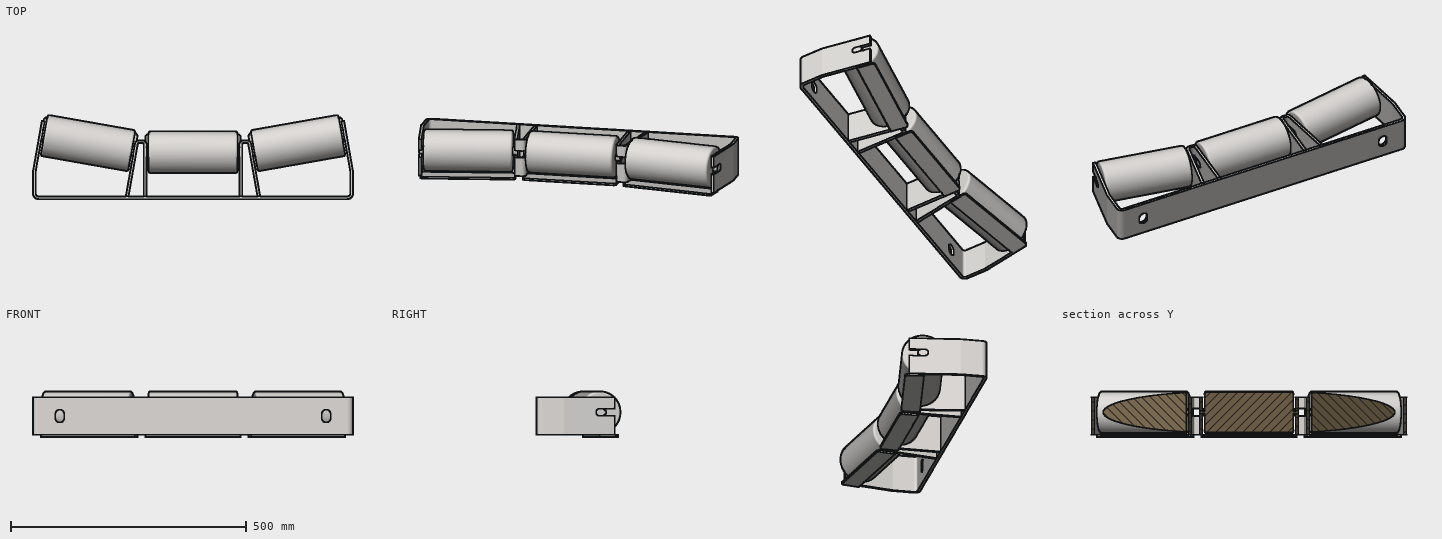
import cadquery as cq
import math

FRAME_LENGTH = 680.0
TOTAL_DEPTH = 179.0
FRAME_HEIGHT = 80.0
SHEET = 6.0
INNER_BEND_RADIUS = 6.0
END_BEND_Y = 59.0
END_TIP_Y = 166.5
SIDE_ANGLE = 10.0

MOUNT_HOLE_X = 283.0
MOUNT_HOLE_WIDTH = 19.0
MOUNT_HOLE_HEIGHT = 27.0

SUPPORT_SPAN = 209.5
BRACKET_TOP_Y = 125.0
BRACKET_RADIUS = 8.0

ROLLER_DIAMETER = 89.0
ROLLER_LENGTH = 189.0
ROLLER_FILLET = 5.0
SHAFT_WIDTH = 22.0
SHAFT_HEIGHT = 15.0

PLATE_LENGTH = 202.5
PLATE_WIDTH = 40.0
PLATE_THICKNESS = 4.4
PLATE_CHAMFER = 4.0
PLATE_FRONT = 38.0

AXIS_Z = 48.0
MIDDLE_AXIS_Y = 100.0

SIDE_SLOPE = math.tan(math.radians(SIDE_ANGLE))
SIDE_COS = math.cos(math.radians(SIDE_ANGLE))
SIDE_SIN = math.sin(math.radians(SIDE_ANGLE))
HALF_LENGTH = FRAME_LENGTH / 2
BRACKET_LEG_X = SUPPORT_SPAN / 2 - SHEET

SIDE_FRONT_REACH = (
    (ROLLER_LENGTH / 2 - ROLLER_FILLET) * SIDE_SIN
    + (ROLLER_DIAMETER / 2 - ROLLER_FILLET) * SIDE_COS
    + ROLLER_FILLET
)
SIDE_Y = TOTAL_DEPTH - SIDE_FRONT_REACH

SIDE_X = HALF_LENGTH - (SUPPORT_SPAN / 2 + (SIDE_Y - END_BEND_Y) * SIDE_SIN) / SIDE_COS

BRACKET_FOOT_X = SIDE_X - (SUPPORT_SPAN / 2 - (SIDE_Y - SHEET) * SIDE_SIN) / SIDE_COS

STATIONS = [(-SIDE_X, SIDE_Y, -SIDE_ANGLE), (0, MIDDLE_AXIS_Y, 0), (SIDE_X, SIDE_Y, SIDE_ANGLE)]


def at_station(body, station):
    """Move a body made around the roller middle to its roller position."""
    x, y, angle = station
    return body.rotate((0, 0, 0), (0, 0, 1), angle).translate((x, y, AXIS_Z))


def shaft(length):
    return cq.Workplane("YZ", origin=(-length / 2, 0, 0)).slot2D(SHAFT_WIDTH, SHAFT_HEIGHT).extrude(length)


def make_roller():
    drum_end = cq.Workplane("YZ", origin=(-ROLLER_LENGTH / 2, 0, 0))
    drum = drum_end.circle(ROLLER_DIAMETER / 2).extrude(ROLLER_LENGTH)
    return drum.faces("<X or >X").edges().fillet(ROLLER_FILLET).union(shaft(SUPPORT_SPAN))


def make_base_plate():
    plate = cq.Workplane("XY").box(PLATE_LENGTH, PLATE_WIDTH, PLATE_THICKNESS)
    plate = plate.faces(">Y").edges("|Z").chamfer(PLATE_CHAMFER)
    return plate.translate((0, PLATE_FRONT - PLATE_WIDTH / 2, -AXIS_Z - PLATE_THICKNESS / 2))


def make_shaft_slots():
    length = SUPPORT_SPAN + 2 * SHEET
    opening = cq.Workplane("XY").box(length, ROLLER_DIAMETER, SHAFT_HEIGHT)
    return shaft(length).union(opening.translate((0, ROLLER_DIAMETER / 2, 0)))


def cut_shaft_slots(body):
    for station in STATIONS:
        body = body.cut(at_station(make_shaft_slots(), station))
    return body


def round_edge(body, x, y, radius):
    """Fillet the upright edge at (x, y)."""
    edge = cq.selectors.NearestToPointSelector((x, y, FRAME_HEIGHT / 2))
    return body.edges("|Z").edges(edge).fillet(radius)


def make_frame():
    tip_x = HALF_LENGTH - (END_TIP_Y - END_BEND_Y) * SIDE_SLOPE
    inner_x = HALF_LENGTH - SHEET
    inner_bend_y = END_BEND_Y - SHEET * math.tan(math.radians(SIDE_ANGLE / 2))
    right_side = [
        (HALF_LENGTH, 0),
        (HALF_LENGTH, END_BEND_Y),
        (tip_x, END_TIP_Y),
        (tip_x - SHEET * SIDE_COS, END_TIP_Y - SHEET * SIDE_SIN),
        (inner_x, inner_bend_y),
        (inner_x, SHEET),
    ]
    left_side = [(-x, y) for x, y in reversed(right_side)]
    frame = cq.Workplane("XY").polyline(right_side + left_side).close().extrude(FRAME_HEIGHT)

    outer_radius = INNER_BEND_RADIUS + SHEET
    for side in (-1, 1):
        frame = round_edge(frame, side * HALF_LENGTH, 0, outer_radius)
        frame = round_edge(frame, side * inner_x, SHEET, INNER_BEND_RADIUS)
        frame = round_edge(frame, side * HALF_LENGTH, END_BEND_Y, outer_radius)
        frame = round_edge(frame, side * inner_x, inner_bend_y, INNER_BEND_RADIUS)

    holes = (
        cq.Workplane("XZ")
        .pushPoints([(-MOUNT_HOLE_X, FRAME_HEIGHT / 2), (MOUNT_HOLE_X, FRAME_HEIGHT / 2)])
        .slot2D(MOUNT_HOLE_HEIGHT, MOUNT_HOLE_WIDTH, 90)
        .extrude(-SHEET)
    )
    return cut_shaft_slots(frame.cut(holes))


def bracket_prism(inset, radius):
    """Solid trapezoid, set in from the outer faces of the bracket, with two rounded front corners."""
    top = BRACKET_TOP_Y - inset
    straight_x = BRACKET_LEG_X + inset
    foot_x = BRACKET_FOOT_X + (SHEET - inset) / SIDE_COS
    top_x = foot_x - (top - SHEET) * SIDE_SLOPE
    outline = [(straight_x, SHEET), (foot_x, SHEET), (top_x, top), (straight_x, top)]
    prism = cq.Workplane("XY").polyline(outline).close().extrude(FRAME_HEIGHT)
    return prism.faces(">Y").edges("|Z").fillet(radius)


def make_bracket():
    return bracket_prism(0, BRACKET_RADIUS).cut(bracket_prism(SHEET, BRACKET_RADIUS - SHEET))


frame = make_frame()
right_bracket = make_bracket()
brackets = [cut_shaft_slots(right_bracket), cut_shaft_slots(right_bracket.mirror("YZ"))]
rollers = [at_station(make_roller(), station) for station in STATIONS]
base_plates = [at_station(make_base_plate(), station) for station in STATIONS]

bodies = [frame, *brackets, *rollers, *base_plates]
result = cq.Compound.makeCompound([body.solids().val() for body in bodies])